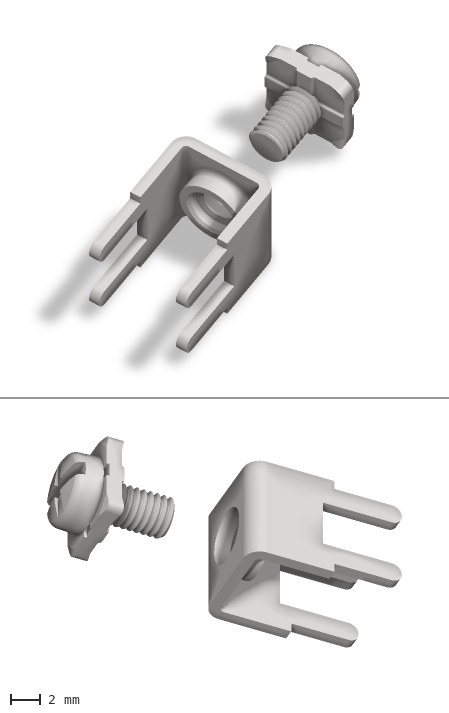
import cadquery as cq
import math

TOTAL_LENGTH = 23.75

BRACKET_WIDTH = 7.87
BRACKET_BACK_Y = 11.2
SHEET_THICKNESS = 0.83
BEND_OUTER_RADIUS = 1.2
BEND_INNER_RADIUS = BEND_OUTER_RADIUS - SHEET_THICKNESS

LEG_SHOULDER_Y = 5.0
LEG_SLOT_Y = 5.84
PRONG_WIDTH = 1.48
PRONG_PITCH = 5.02

COLLAR_RADIUS = 2.56
COLLAR_DEPTH = 2.28
COLLAR_ROOT_FILLET = 0.28
LIP_BORE_RADIUS = 1.78
LIP_BORE_DEPTH = 0.81
LIP_CHAMFER = 0.2
THROAT_RADIUS = 1.3
THROAT_CONE_DEPTH = 0.2
THROAT_LAND = 0.1
BACK_BORE_RADIUS = 2.03

HEAD_HEIGHT = 2.22
HEAD_BASE_RADIUS = 2.76
HEAD_SIDE_TOP_RADIUS = 2.68
HEAD_SIDE_TOP_DEPTH = 0.84
DOME_EDGE_RADIUS = 2.35
DOME_EDGE_DEPTH = 0.31
DOME_RADIUS = (DOME_EDGE_RADIUS**2 + DOME_EDGE_DEPTH**2) / (2 * DOME_EDGE_DEPTH)
SLOT_WIDTH = 1.05
SLOT_DEPTH = 0.92
CROSS_SLOT_WIDTH = 0.88
CROSS_SLOT_DEPTH = 0.29

SCREW_LENGTH = 8.12
CORE_RADIUS = 1.28
CREST_RADIUS = 1.49
PITCH = 0.5
RIDGE_BASE = 0.4
RIDGE_CREST = 0.03
RIDGE_OVERLAP = 0.05
TIP_RADIUS = 1.31
TIP_BEVEL_LENGTH = 0.12
CREST_START_DEPTH = 3.22

WASHER_WIDTH = 6.35
WASHER_THICKNESS = 1.14
WASHER_CORNER_RADIUS = 0.6
RIB_HEIGHT = 0.2
RIB_TOP_WIDTH = 1.02
RIB_FLANK_RUN = 0.27
GROOVE_WIDTH = 1.0
GROOVE_DEPTH = 0.25
FOLD_LEG = 1.2
CORNER_DROP = 0.2
WASHER_TOP = HEAD_HEIGHT
WASHER_BASE = WASHER_TOP + WASHER_THICKNESS
RIB_FACE = WASHER_BASE + RIB_HEIGHT


def dome_depth(radius):
    """Depth of the head dome below its apex, at a distance from the screw axis."""
    return DOME_RADIUS - math.sqrt(DOME_RADIUS**2 - radius**2)


def lay_down(body):
    """Turn a body from the depth axis onto -Y.

    The slots remove the dome apex, so the corners left between them set the total length.
    """
    slot_corner_radius = math.hypot(SLOT_WIDTH, CROSS_SLOT_WIDTH) / 2
    apex_y = TOTAL_LENGTH + dome_depth(slot_corner_radius)
    return body.rotate((0, 0, 0), (1, 0, 0), 90).translate((0, apex_y, 0))


def side_silhouette():
    """Outline of the bracket along X: shoulders, and two round-ended prongs on each leg."""
    half = BRACKET_WIDTH / 2
    prong_inner = (PRONG_PITCH - PRONG_WIDTH) / 2
    prong_outer = (PRONG_PITCH + PRONG_WIDTH) / 2
    round_y = PRONG_WIDTH / 2
    return (
        cq.Workplane("YZ")
        .moveTo(LEG_SHOULDER_Y, half)
        .lineTo(LEG_SHOULDER_Y, prong_outer)
        .lineTo(round_y, prong_outer)
        .threePointArc((0, PRONG_PITCH / 2), (round_y, prong_inner))
        .lineTo(LEG_SLOT_Y, prong_inner)
        .lineTo(LEG_SLOT_Y, -prong_inner)
        .lineTo(round_y, -prong_inner)
        .threePointArc((0, -PRONG_PITCH / 2), (round_y, -prong_outer))
        .lineTo(LEG_SHOULDER_Y, -prong_outer)
        .lineTo(LEG_SHOULDER_Y, -half)
        .lineTo(BRACKET_BACK_Y, -half)
        .lineTo(BRACKET_BACK_Y, half)
        .close()
        .extrude(half, both=True)
    )


def make_bracket():
    """Sheet bent into a U, with two prongs on each leg and a bored collar in the web."""
    half = BRACKET_WIDTH / 2
    outer = (
        cq.Workplane("XY")
        .rect(BRACKET_WIDTH, 2 * BRACKET_BACK_Y)
        .extrude(half, both=True)
        .edges("|Z and >Y")
        .fillet(BEND_OUTER_RADIUS)
    )
    inner = (
        cq.Workplane("XY")
        .rect(BRACKET_WIDTH - 2 * SHEET_THICKNESS, 2 * (BRACKET_BACK_Y - SHEET_THICKNESS))
        .extrude(half, both=True)
        .edges("|Z and >Y")
        .fillet(BEND_INNER_RADIUS)
    )
    channel = outer.cut(inner).intersect(side_silhouette())

    lip_y = BRACKET_BACK_Y - COLLAR_DEPTH
    web_inner_y = BRACKET_BACK_Y - SHEET_THICKNESS
    flare = COLLAR_ROOT_FILLET
    arc_reach = flare * (1 - math.sqrt(0.5))
    collar = (
        cq.Workplane("XY")
        .moveTo(0, lip_y)
        .lineTo(COLLAR_RADIUS, lip_y)
        .lineTo(COLLAR_RADIUS, web_inner_y - flare)
        .threePointArc(
            (COLLAR_RADIUS + arc_reach, web_inner_y - arc_reach),
            (COLLAR_RADIUS + flare, web_inner_y),
        )
        .lineTo(0, web_inner_y)
        .close()
        .revolve(360, (0, 0), (0, 1))
    )

    cone_end_y = lip_y + LIP_BORE_DEPTH + THROAT_CONE_DEPTH
    throat_end_y = cone_end_y + THROAT_LAND
    bore = (
        cq.Workplane("XY")
        .moveTo(0, lip_y)
        .lineTo(LIP_BORE_RADIUS + LIP_CHAMFER, lip_y)
        .lineTo(LIP_BORE_RADIUS, lip_y + LIP_CHAMFER)
        .lineTo(LIP_BORE_RADIUS, lip_y + LIP_BORE_DEPTH)
        .lineTo(THROAT_RADIUS, cone_end_y)
        .lineTo(THROAT_RADIUS, throat_end_y)
        .lineTo(BACK_BORE_RADIUS, throat_end_y)
        .lineTo(BACK_BORE_RADIUS, BRACKET_BACK_Y)
        .lineTo(0, BRACKET_BACK_Y)
        .close()
        .revolve(360, (0, 0), (0, 1))
    )
    return channel.union(collar).cut(bore)


def make_head():
    """Domed, slightly tapered head with a deep slot along X and a shallow slot across it."""
    mid_radius = DOME_EDGE_RADIUS / 2
    head = (
        cq.Workplane("XZ")
        .moveTo(0, HEAD_HEIGHT)
        .lineTo(HEAD_BASE_RADIUS, HEAD_HEIGHT)
        .lineTo(HEAD_SIDE_TOP_RADIUS, HEAD_SIDE_TOP_DEPTH)
        .tangentArcPoint((DOME_EDGE_RADIUS, DOME_EDGE_DEPTH), relative=False)
        .threePointArc((mid_radius, dome_depth(mid_radius)), (0, 0))
        .close()
        .revolve(360, (0, 0), (0, 1))
    )
    slot_length = 2 * HEAD_BASE_RADIUS
    slot = cq.Workplane("XY").rect(slot_length, SLOT_WIDTH).extrude(SLOT_DEPTH)
    cross_slot = cq.Workplane("XY").rect(CROSS_SLOT_WIDTH, slot_length).extrude(CROSS_SLOT_DEPTH)
    return head.cut(slot).cut(cross_slot)


def make_thread_ridge():
    """Left-hand helical ridge, reaching past both ends of the threaded length."""
    helix_length = SCREW_LENGTH + PITCH - CREST_START_DEPTH
    helix = cq.Wire.makeHelix(PITCH, helix_length, CORE_RADIUS, lefthand=True)
    inner_radius = CORE_RADIUS - RIDGE_OVERLAP
    return (
        cq.Workplane("XZ")
        .moveTo(inner_radius, -RIDGE_BASE / 2)
        .lineTo(CORE_RADIUS, -RIDGE_BASE / 2)
        .lineTo(CREST_RADIUS, -RIDGE_CREST / 2)
        .lineTo(CREST_RADIUS, RIDGE_CREST / 2)
        .lineTo(CORE_RADIUS, RIDGE_BASE / 2)
        .lineTo(inner_radius, RIDGE_BASE / 2)
        .close()
        .sweep(cq.Workplane(helix), isFrenet=True)
        .translate((0, 0, CREST_START_DEPTH))
    )


def make_threaded_rod():
    """Threaded length from the washer ribs to the tip, with the crests bevelled at the tip."""
    clear_radius = 2 * CREST_RADIUS
    bevel_slope = TIP_BEVEL_LENGTH / (CREST_RADIUS - TIP_RADIUS)
    envelope = (
        cq.Workplane("XZ")
        .polyline(
            [
                (0, RIB_FACE),
                (clear_radius, RIB_FACE),
                (clear_radius, SCREW_LENGTH - bevel_slope * (clear_radius - TIP_RADIUS)),
                (TIP_RADIUS, SCREW_LENGTH),
                (0, SCREW_LENGTH),
            ]
        )
        .close()
        .revolve(360, (0, 0), (0, 1))
    )
    core = (
        cq.Workplane("XY")
        .workplane(offset=HEAD_HEIGHT)
        .circle(CORE_RADIUS)
        .extrude(SCREW_LENGTH + 2 * PITCH - HEAD_HEIGHT)
    )
    return core.union(make_thread_ridge()).intersect(envelope)


def make_screw():
    """Head, plain shank inside the washer and threaded rod, as one solid."""
    shank = (
        cq.Workplane("XY")
        .workplane(offset=HEAD_HEIGHT)
        .circle(CORE_RADIUS)
        .extrude(RIB_FACE - HEAD_HEIGHT)
    )
    return lay_down(make_head().union(shank).union(make_threaded_rod()))


def rounded_square(thickness):
    """Square block with rounded corners, starting at the washer face under the head."""
    return (
        cq.Workplane("XY")
        .workplane(offset=WASHER_TOP)
        .rect(WASHER_WIDTH, WASHER_WIDTH)
        .extrude(thickness)
        .edges("|Z")
        .fillet(WASHER_CORNER_RADIUS)
    )


def bend_corners(corner_stock, plate):
    """Replace the four flat corners of the plate by corners bent away from the head."""
    corner_reach = WASHER_WIDTH / math.sqrt(2)
    fold = corner_reach - FOLD_LEG / math.sqrt(2)
    tip = corner_reach - WASHER_CORNER_RADIUS * (math.sqrt(2) - 1)
    drop = CORNER_DROP * (corner_reach - fold) / (tip - fold)
    flat_section = [
        (fold, WASHER_TOP),
        (corner_reach, WASHER_TOP),
        (corner_reach, WASHER_BASE),
        (fold, WASHER_BASE),
    ]
    bent_section = [
        (fold, WASHER_TOP),
        (corner_reach, WASHER_TOP + drop),
        (corner_reach, WASHER_BASE + drop),
        (fold, WASHER_BASE),
    ]
    for angle in (45, 135, 225, 315):
        flat, bent = (
            cq.Workplane("XZ")
            .polyline(section)
            .close()
            .extrude(corner_reach, both=True)
            .rotate((0, 0, 0), (0, 0, 1), angle)
            for section in (flat_section, bent_section)
        )
        plate = plate.cut(flat).union(corner_stock.intersect(bent))
    return plate


def make_rib():
    """Rib along Y on the far face, each flank an S of two tangent arcs."""
    top_edge = RIB_TOP_WIDTH / 2
    base_edge = top_edge + RIB_FLANK_RUN
    flank_middle = (top_edge + RIB_FLANK_RUN / 2, WASHER_BASE + RIB_HEIGHT / 2)
    half_rib = (
        cq.Workplane("XZ")
        .moveTo(0, RIB_FACE)
        .lineTo(top_edge, RIB_FACE)
        .tangentArcPoint(flank_middle, relative=False)
        .tangentArcPoint((base_edge, WASHER_BASE), relative=False)
        .lineTo(0, WASHER_BASE)
        .close()
        .extrude(WASHER_WIDTH / 2, both=True)
    )
    return half_rib.union(half_rib.mirror("YZ"))


def make_washer():
    """Square washer with bent corners, an embossed cross and a snug shank hole."""
    corner_stock = rounded_square(2 * WASHER_THICKNESS)
    washer = bend_corners(corner_stock, rounded_square(WASHER_THICKNESS))

    groove = (
        cq.Workplane("XY")
        .workplane(offset=WASHER_TOP)
        .rect(GROOVE_WIDTH, WASHER_WIDTH)
        .extrude(GROOVE_DEPTH)
    )
    for angle in (0, 90):
        washer = washer.union(make_rib().rotate((0, 0, 0), (0, 0, 1), angle))
        washer = washer.cut(groove.rotate((0, 0, 0), (0, 0, 1), angle))

    shank_hole = (
        cq.Workplane("XY")
        .workplane(offset=WASHER_TOP)
        .circle(CORE_RADIUS)
        .extrude(WASHER_THICKNESS + RIB_HEIGHT)
    )
    return lay_down(washer.cut(shank_hole))


bracket = make_bracket().solids()
screw = make_screw().solids()
washer = make_washer().solids()
result = cq.Compound.makeCompound([bracket.val(), screw.val(), washer.val()])